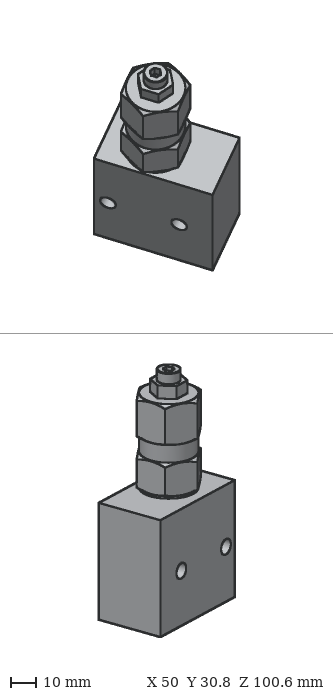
import cadquery as cq
import math

block_width = 50.0
block_depth = 30.0
block_height = 50.0

hole_diameter = 6.5
hole_left = 5.9
hole_spacing = 30.0
hole_height = 23.5

axis_x = 21.0
axis_y = 13.1
lower_nut_bottom = 51.0
lower_nut_top = 65.4
upper_nut_bottom = 72.9
upper_nut_top = 90.4
lock_nut_top = 96.0
screw_top = 100.6

nut_flats = 24.0
collar_diameter = 23.4
nut_bevel_angle = 30
lock_nut_flats = 12.8
screw_diameter = 9.5
screw_bevel = 0.2
socket_flats = 4.0
socket_depth = 4.0


def corner_diameter(flats):
    """Diameter across the corners of a hexagon."""
    return flats / math.cos(math.radians(30))


def cylinder(diameter, bottom, top):
    """Round section on the cartridge axis."""
    return cq.Workplane(origin=(axis_x, axis_y, bottom)).circle(diameter / 2).extrude(top - bottom)


def hexagon(flats, bottom, top, turn=0):
    """Hexagonal prism on the cartridge axis, with corners along X before turning."""
    return (
        cq.Workplane(origin=(axis_x, axis_y, bottom))
        .transformed(rotate=(0, 0, turn))
        .polygon(6, corner_diameter(flats))
        .extrude(top - bottom)
    )


def bevelled_nut(bottom, top):
    """Large nut with corners along Y, turned down conically at both ends."""
    corner_radius = corner_diameter(nut_flats) / 2
    bevel_width = corner_radius - collar_diameter / 2
    bevel_height = bevel_width * math.tan(math.radians(nut_bevel_angle))
    envelope = cylinder(2 * corner_radius, bottom, top).faces("<Z or >Z").chamfer(bevel_height, bevel_width)
    return hexagon(nut_flats, bottom, top, turn=30).intersect(envelope)


def valve_block():
    """Rectangular block with two through holes along Y."""
    block = cq.Workplane().box(block_width, block_depth, block_height, centered=False)
    holes = (
        cq.Workplane("XZ")
        .pushPoints([(hole_left, hole_height), (hole_left + hole_spacing, hole_height)])
        .circle(hole_diameter / 2)
        .extrude(-block_depth)
    )
    return block.cut(holes)


def adjusting_screw():
    """Screw end with a hexagon socket in its top."""
    screw = cylinder(screw_diameter, lock_nut_top, screw_top).faces(">Z").chamfer(screw_bevel)
    return screw.cut(hexagon(socket_flats, screw_top - socket_depth, screw_top))


result = (
    valve_block()
    .union(cylinder(collar_diameter, block_height, upper_nut_bottom))
    .union(bevelled_nut(lower_nut_bottom, lower_nut_top))
    .union(bevelled_nut(upper_nut_bottom, upper_nut_top))
    .union(hexagon(lock_nut_flats, upper_nut_top, lock_nut_top))
    .union(adjusting_screw())
)